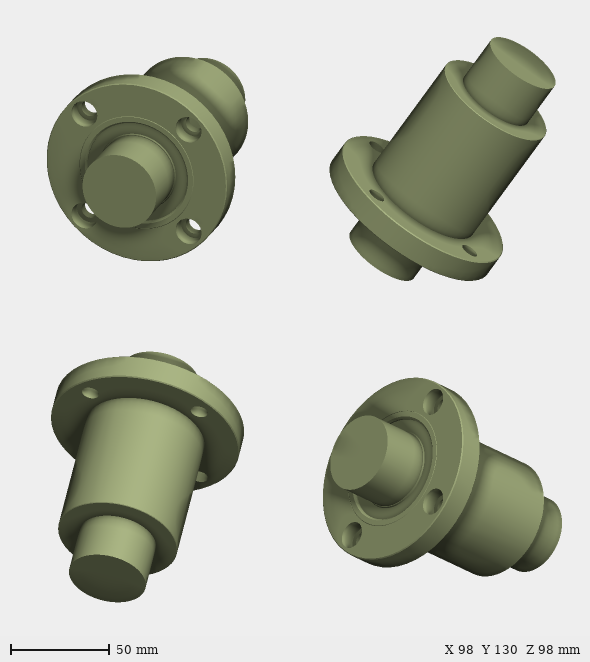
import cadquery as cq

shaft_dia = 40.0
shaft_length = 130.0
housing_dia = 62.0
housing_length = 80.0
housing_chamfer = 0.3
flange_dia = 98.0
flange_thickness = 13.0
flange_chamfer = 0.5

bolt_circle_dia = 80.0
bolt_count = 4
bolt_hole_dia = 9.0
counterbore_dia = 14.0
counterbore_depth = 8.0

recess_mouth_dia = 56.0
recess_floor_dia = 54.0
recess_taper_depth = 1.0
recess_depth = 1.8

lip_base_dia = 41.5
lip_tip_dia = 40.8
lip_height = 0.8

shaft_front = -shaft_length / 2
housing_front = -housing_length / 2
recess_floor = housing_front + recess_depth


def cylinder(diameter, front, length):
    """Solid cylinder on the Y axis, running toward +Y from the front position."""
    plane = cq.Workplane("XZ", origin=(0, front, 0))
    return plane.circle(diameter / 2).extrude(-length)


def revolve_on_shaft_axis(profile):
    """Ring or disc from a closed (radius, y) profile turned about the Y axis."""
    axis_start = (0, 0, 0)
    axis_end = (0, 1, 0)
    return cq.Workplane("XY").polyline(profile).close().revolve(360, axis_start, axis_end)


def make_flange():
    disc = cylinder(flange_dia, housing_front, flange_thickness)
    return disc.edges().chamfer(flange_chamfer)


def make_housing():
    tube = cylinder(housing_dia, housing_front, housing_length)
    return tube.edges(">Y").chamfer(housing_chamfer)


def make_joint_groove():
    """V groove where the chamfered housing nose sits in the flange bore."""
    outer = housing_dia / 2
    profile = [
        (outer, housing_front),
        (outer, housing_front + housing_chamfer),
        (outer - housing_chamfer, housing_front),
    ]
    return revolve_on_shaft_axis(profile)


def make_recess():
    """Tapered seal recess that leaves a conical lip around the shaft."""
    lip_tip = recess_floor - lip_height
    profile = [
        (0, housing_front),
        (recess_mouth_dia / 2, housing_front),
        (recess_floor_dia / 2, housing_front + recess_taper_depth),
        (recess_floor_dia / 2, recess_floor),
        (lip_base_dia / 2, recess_floor),
        (lip_tip_dia / 2, lip_tip),
        (0, lip_tip),
    ]
    return revolve_on_shaft_axis(profile)


def drill_bolt_holes(body):
    front_face = cq.Workplane("XZ", origin=(0, housing_front, 0))
    first_angle = 180 / bolt_count
    spots = front_face.polarArray(bolt_circle_dia / 2, first_angle, 360, bolt_count)
    through_holes = spots.circle(bolt_hole_dia / 2).extrude(-flange_thickness)
    counterbores = spots.circle(counterbore_dia / 2).extrude(-counterbore_depth)
    return body.cut(through_holes).cut(counterbores)


bearing = make_flange().union(make_housing())
bearing = bearing.cut(make_joint_groove()).cut(make_recess())
bearing = drill_bolt_holes(bearing)
result = bearing.union(cylinder(shaft_dia, shaft_front, shaft_length))